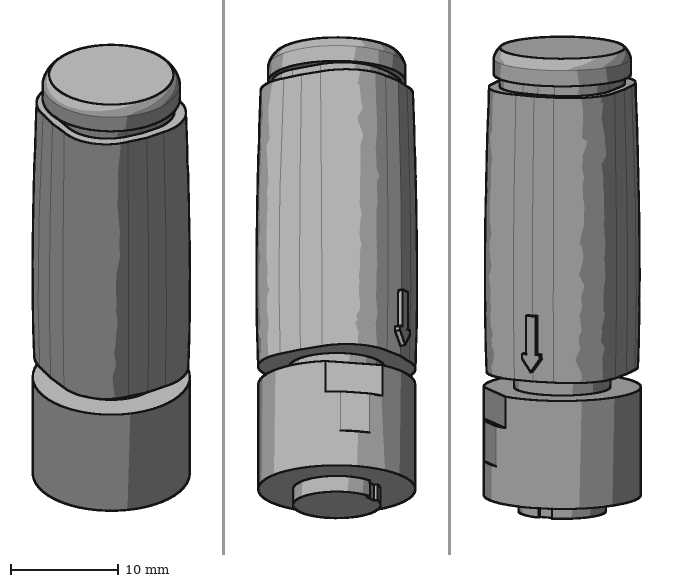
import cadquery as cq
import math

TIP_TOP = 1.55
NUT_TOP = 11.8
SLEEVE_BOTTOM = 13.45
SLEEVE_WIDEST = 25.1
SLEEVE_TOP = 40.5
COLLAR_BOTTOM = 41.5
COLLAR_SHOULDER = 43.0
TOTAL_HEIGHT = 44.0

TIP_RADIUS = 4.1
NUT_RADIUS = 7.35
NECK_RADIUS = 4.5
COLLAR_RADIUS = 6.42
COLLAR_TOP_RADIUS = 5.8
COLLAR_EDGE_BULGE = 0.065

SLEEVE_LOBE = 7.52
SLEEVE_BARE_FACET = (6.5, 6.65, 2.35)
SLEEVE_BARE_FACET_TOP = (6.5, 6.65, 2.1)
SLEEVE_ARROW_FACET = (6.85, 7.1, 2.02)
SMALLEST_CREASE = 0.005
SLEEVE_TOP_RATIO = 0.95
SLEEVE_BOTTOM_RATIO = 0.98

GROOVE_LOBE = 6.05
GROOVE_BARE_FACET = (5.4, 5.4, 1.55)
GROOVE_ARROW_FACET = (5.6, 5.7, 1.6)

NUT_FLATS = ((4.95, 7.2), (8.8, 6.8))

MARK_ANGLE = 135
KEYWAY_WIDTH = 1.35
KEYWAY_DEPTH = 0.45
ARROW_FACE = 7.5
ARROW_ROOT = 6.15
ARROW_TOP = 19.75
ARROW_HEAD_TOP = 16.1
ARROW_HEAD_SHOULDER = 15.65
ARROW_POINT = 14.45
ARROW_SHAFT_WIDTH = 0.95
ARROW_HEAD_WIDTH = 1.75


def cylinder(radius, bottom, top):
    return cq.Workplane("XY").workplane(offset=bottom).circle(radius).extrude(top - bottom)


def diagonal_point(angle, distance, sideways):
    """Point at a distance along a direction, shifted counterclockwise across it."""
    a = math.radians(angle)
    return (
        distance * math.cos(a) - sideways * math.sin(a),
        distance * math.sin(a) + sideways * math.cos(a),
    )


def facet_points(angle, facet, ratio):
    """Start, crease and end of one grip facet, in counterclockwise order."""
    end_distance, crease_distance, half_width = (size * ratio for size in facet)
    return (
        diagonal_point(angle, end_distance, -half_width),
        diagonal_point(angle, crease_distance, 0),
        diagonal_point(angle, end_distance, half_width),
    )


def lobe_peak(angle, lobe, start, end):
    """Outermost point of the lobe between two facets, level with the middle of its chord."""
    a = math.radians(angle)
    middle_x = (start[0] + end[0]) / 2
    middle_y = (start[1] + end[1]) / 2
    sideways = middle_y * math.cos(a) - middle_x * math.sin(a)
    return diagonal_point(angle, lobe, sideways)


def add_lobed_outline(plane, lobe, bare_facet, arrow_facet, ratio=1.0):
    """Draw the closed four-lobed outline on a workplane."""
    facets = []
    for quarter in range(4):
        facet = arrow_facet if quarter % 2 else bare_facet
        facets.append(facet_points(45 + 90 * quarter, facet, ratio))
    outline = plane.moveTo(*facets[0][0])
    for quarter, (start, crease, end) in enumerate(facets):
        next_start = facets[(quarter + 1) % 4][0]
        peak = lobe_peak(90 * (quarter + 1), lobe * ratio, end, next_start)
        if crease_stands_out(start, crease, end):
            outline = outline.lineTo(*crease)
        outline = outline.lineTo(*end).threePointArc(peak, next_start)
    return outline.close()


def crease_stands_out(start, crease, end):
    """Tell a creased facet from a flat one."""
    middle = ((start[0] + end[0]) / 2, (start[1] + end[1]) / 2)
    return math.dist(middle, crease) > SMALLEST_CREASE


def make_sleeve():
    """Barrel-shaped grip, widest a little below its middle."""
    sections = (
        (SLEEVE_BOTTOM, SLEEVE_BOTTOM_RATIO, SLEEVE_BARE_FACET),
        (SLEEVE_WIDEST, 1.0, SLEEVE_BARE_FACET),
        (SLEEVE_TOP, SLEEVE_TOP_RATIO, SLEEVE_BARE_FACET_TOP),
    )
    sleeve = cq.Workplane("XY")
    height = 0
    for section_height, ratio, bare_facet in sections:
        sleeve = sleeve.workplane(offset=section_height - height)
        sleeve = add_lobed_outline(sleeve, SLEEVE_LOBE, bare_facet, SLEEVE_ARROW_FACET, ratio)
        height = section_height
    return sleeve.loft()


def make_groove():
    plane = cq.Workplane("XY").workplane(offset=SLEEVE_TOP)
    outline = add_lobed_outline(plane, GROOVE_LOBE, GROOVE_BARE_FACET, GROOVE_ARROW_FACET)
    return outline.extrude(COLLAR_BOTTOM - SLEEVE_TOP)


def make_collar():
    """End collar with a slightly bulged sloping top edge."""
    edge_middle = (
        (COLLAR_RADIUS + COLLAR_TOP_RADIUS) / 2 + COLLAR_EDGE_BULGE,
        (COLLAR_SHOULDER + TOTAL_HEIGHT) / 2 + COLLAR_EDGE_BULGE,
    )
    return (
        cq.Workplane("XZ")
        .moveTo(0, COLLAR_BOTTOM)
        .lineTo(COLLAR_RADIUS, COLLAR_BOTTOM)
        .lineTo(COLLAR_RADIUS, COLLAR_SHOULDER)
        .threePointArc(edge_middle, (COLLAR_TOP_RADIUS, TOTAL_HEIGHT))
        .lineTo(0, TOTAL_HEIGHT)
        .close()
        .revolve(360, (0, 0), (0, 1))
    )


def make_nut():
    """Coupling nut with a flat on +Y that steps inward toward the top."""
    nut = cylinder(NUT_RADIUS, TIP_TOP, NUT_TOP)
    for flat_bottom, flat_distance in NUT_FLATS:
        cutter = (
            cq.Workplane("XY")
            .box(2 * NUT_RADIUS, NUT_RADIUS, NUT_TOP - flat_bottom, centered=(True, False, False))
            .translate((0, flat_distance, flat_bottom))
        )
        nut = nut.cut(cutter)
    return nut


def make_tip():
    """Plug tip with a keyway in its side."""
    keyway = (
        cq.Workplane("XY")
        .box(TIP_RADIUS, KEYWAY_WIDTH, TIP_TOP, centered=(False, True, False))
        .translate((TIP_RADIUS - KEYWAY_DEPTH, 0, 0))
        .rotate((0, 0, 0), (0, 0, 1), MARK_ANGLE)
    )
    return cylinder(TIP_RADIUS, 0, TIP_TOP).cut(keyway)


def make_arrow():
    """Raised arrow that points down toward the nut."""
    half_shaft = ARROW_SHAFT_WIDTH / 2
    half_head = ARROW_HEAD_WIDTH / 2
    return (
        cq.Workplane("YZ")
        .workplane(offset=ARROW_ROOT)
        .polyline([
            (half_shaft, ARROW_TOP),
            (half_shaft, ARROW_HEAD_TOP),
            (half_head, ARROW_HEAD_TOP),
            (half_head, ARROW_HEAD_SHOULDER),
            (0, ARROW_POINT),
            (-half_head, ARROW_HEAD_SHOULDER),
            (-half_head, ARROW_HEAD_TOP),
            (-half_shaft, ARROW_HEAD_TOP),
            (-half_shaft, ARROW_TOP),
        ])
        .close()
        .extrude(ARROW_FACE - ARROW_ROOT)
        .rotate((0, 0, 0), (0, 0, 1), MARK_ANGLE)
    )


neck = cylinder(NECK_RADIUS, NUT_TOP, SLEEVE_BOTTOM)
result = make_tip().union(make_nut()).union(neck).union(make_sleeve())
result = result.union(make_groove()).union(make_collar()).union(make_arrow())